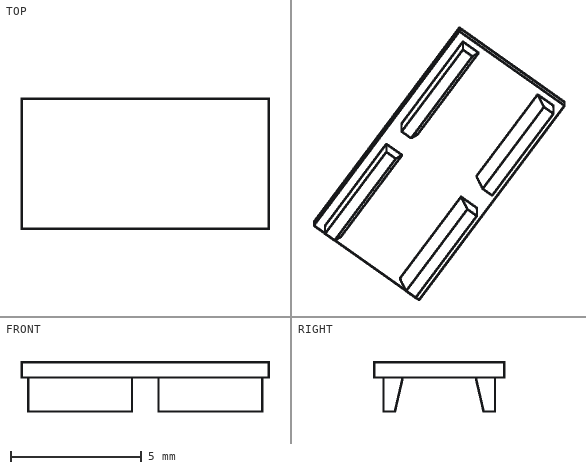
import cadquery as cq

plate_length = 9.5
plate_width = 5.0
plate_thickness = 0.6
total_height = 1.9

leg_height = total_height - plate_thickness
leg_length = 4.0
leg_gap = 1.0
leg_side_inset = 0.35
leg_root_width = 0.75
leg_tip_width = 0.45

leg_outer_y = plate_width / 2 - leg_side_inset
leg_center_x = (leg_gap + leg_length) / 2


def make_plate():
    """Flat plate centred on the Z axis, standing on top of the legs."""
    return (
        cq.Workplane("XY")
        .workplane(offset=leg_height)
        .rect(plate_length, plate_width)
        .extrude(plate_thickness)
    )


def make_leg(center_x, side):
    """Leg with an upright outer face and a sloping inner face; side is +1 or -1 in Y."""
    profile = [
        (side * leg_outer_y, 0),
        (side * leg_outer_y, leg_height),
        (side * (leg_outer_y - leg_root_width), leg_height),
        (side * (leg_outer_y - leg_tip_width), 0),
    ]
    return (
        cq.Workplane("YZ")
        .workplane(offset=center_x - leg_length / 2)
        .polyline(profile)
        .close()
        .extrude(leg_length)
    )


result = make_plate()
for leg_x in (-leg_center_x, leg_center_x):
    for leg_side in (-1, 1):
        result = result.union(make_leg(leg_x, leg_side))